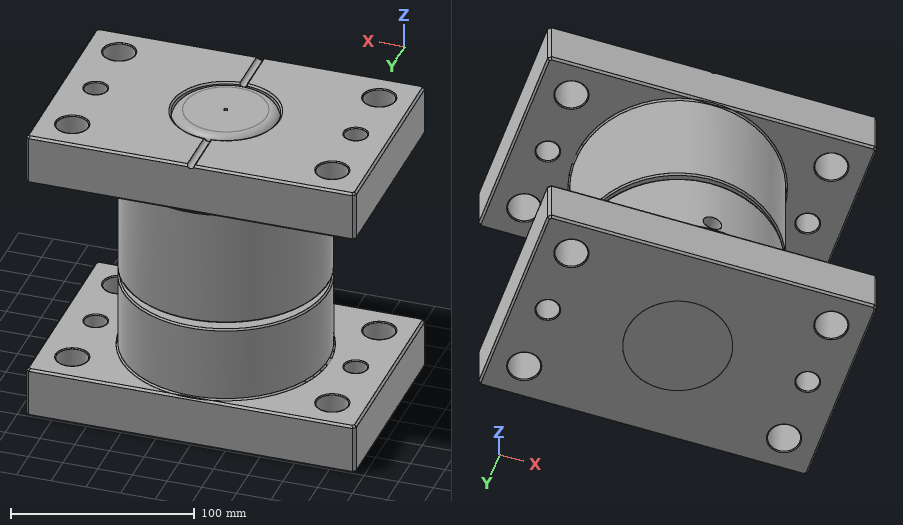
import cadquery as cq

PLATE_LENGTH = 190.0
PLATE_WIDTH = 120.0
PLATE_THICKNESS = 30.0
CORNER_CHAMFER = 1.7
RIM_CHAMFER = 1.24
BOSS_DIAMETER = 118.0
BOSS_RIM_CHAMFER = 1.0
BOSS_FILLET = 1.0

BASE_BOSS_HEIGHT = 45.0
BODY_GAP = 4.0
HEAD_BOSS_HEIGHT = 70.0
TOTAL_HEIGHT = 180.0
BASE_HEIGHT = PLATE_THICKNESS + BASE_BOSS_HEIGHT
HEAD_HEIGHT = PLATE_THICKNESS + HEAD_BOSS_HEIGHT
HEAD_TOP = BASE_HEIGHT + BODY_GAP + HEAD_HEIGHT

HOLE_SPACING_X = 150.0
BOLT_SPACING_Y = 80.0
BOLT_DIAMETER = 18.0
DOWEL_DIAMETER = 13.0
HOLE_CHAMFER = 0.5

PILLAR_DIAMETER = 60.0
PILLAR_NOSE_RADIUS = 6.5
CENTRE_HOLE_DIAMETER = 2.0
CENTRE_HOLE_DEPTH = 3.8
BORE_CHAMFER = 1.05
CHAMFER_ANGLE = 45

GROOVE_RADIUS = 2.0
SIDE_HOLE_DIAMETER = 10.6
SIDE_HOLE_HEIGHT = 37.2


def make_plate():
    """Rectangular plate lying on z = 0, chamfered all round, with its mounting holes."""
    blank = (
        cq.Workplane("XY")
        .box(PLATE_LENGTH, PLATE_WIDTH, PLATE_THICKNESS, centered=(True, True, False))
        .edges("|Z")
        .chamfer(CORNER_CHAMFER)
        .faces("<Z or >Z")
        .chamfer(RIM_CHAMFER)
    )
    return (
        blank.faces(">Z")
        .workplane(origin=(0, 0, 0))
        .rarray(HOLE_SPACING_X, BOLT_SPACING_Y, 2, 2)
        .cskHole(BOLT_DIAMETER, BOLT_DIAMETER + 2 * HOLE_CHAMFER, 2 * CHAMFER_ANGLE)
        .faces(">Z")
        .workplane(origin=(0, 0, 0))
        .rarray(HOLE_SPACING_X, 1.9, 2, 1)
        .cskHole(DOWEL_DIAMETER, DOWEL_DIAMETER + 2 * HOLE_CHAMFER, 2 * CHAMFER_ANGLE)
        .faces("<Z")
        .edges("%CIRCLE")
        .chamfer(HOLE_CHAMFER)
    )


def make_boss(height):
    """Boss profile turned about Z, with a chamfered free end and a concave fillet at its root."""
    radius = BOSS_DIAMETER / 2
    return (
        cq.Workplane("XZ")
        .moveTo(0, 0)
        .lineTo(radius + BOSS_FILLET, 0)
        .radiusArc((radius, BOSS_FILLET), BOSS_FILLET)
        .lineTo(radius, height - BOSS_RIM_CHAMFER)
        .lineTo(radius - BOSS_RIM_CHAMFER, height)
        .lineTo(0, height)
        .close()
        .revolve(360, (0, 0, 0), (0, 1, 0))
    )


def make_guide(boss_height):
    """Flanged guide with its plate on z = 0 and its boss pointing up."""
    boss = make_boss(boss_height).translate((0, 0, PLATE_THICKNESS))
    bore = cq.Workplane("XY").circle(PILLAR_DIAMETER / 2).extrude(PLATE_THICKNESS + boss_height)
    return make_plate().union(boss).cut(bore)


def make_base():
    """Lower guide, with a radial hole from the -Y side into its bore."""
    side_hole = (
        cq.Workplane("XZ")
        .center(0, SIDE_HOLE_HEIGHT)
        .circle(SIDE_HOLE_DIAMETER / 2)
        .extrude(PLATE_WIDTH / 2)
    )
    return make_guide(BASE_BOSS_HEIGHT).cut(side_hole)


def make_head():
    """Upper guide, hung upside down, with a chamfered bore mouth and a round groove along Y."""
    head = make_guide(HEAD_BOSS_HEIGHT).rotate((0, 0, 0), (1, 0, 0), 180).translate((0, 0, HEAD_TOP))
    mouth_radius = PILLAR_DIAMETER / 2 + BORE_CHAMFER
    mouth = (
        cq.Workplane("XY", origin=(0, 0, HEAD_TOP))
        .circle(mouth_radius)
        .extrude(-mouth_radius, taper=CHAMFER_ANGLE)
    )
    groove = (
        cq.Workplane("XZ", origin=(0, 0, HEAD_TOP))
        .moveTo(-GROOVE_RADIUS, 0)
        .threePointArc((0, -GROOVE_RADIUS), (GROOVE_RADIUS, 0))
        .close()
        .extrude(PLATE_WIDTH / 2, both=True)
    )
    return head.cut(mouth).cut(groove)


def make_pillar():
    """Pillar from the underside of the base to just above the head, with a rounded nose."""
    return (
        cq.Workplane("XY")
        .circle(PILLAR_DIAMETER / 2)
        .extrude(TOTAL_HEIGHT)
        .faces(">Z")
        .edges()
        .fillet(PILLAR_NOSE_RADIUS)
        .faces(">Z")
        .workplane()
        .hole(CENTRE_HOLE_DIAMETER, CENTRE_HOLE_DEPTH)
    )


base = make_base()
head = make_head()
pillar = make_pillar()

result = cq.Compound.makeCompound([base.solids().val(), head.solids().val(), pillar.solids().val()])